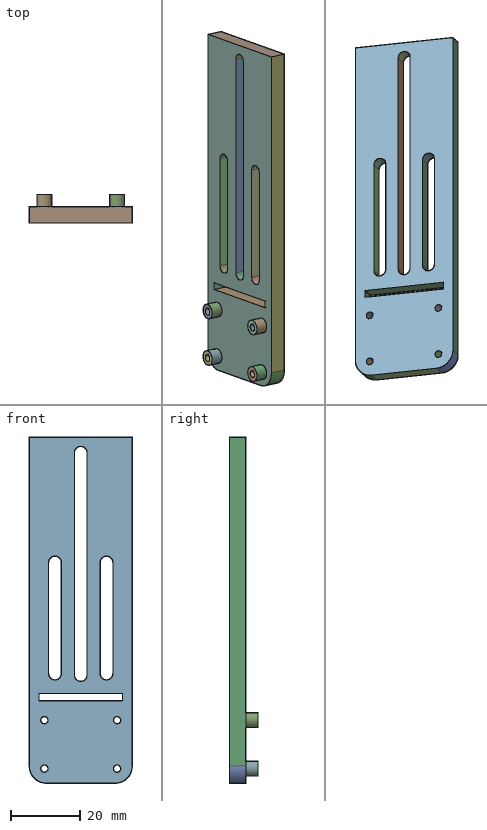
import cadquery as cq

PLATE_WIDTH = 29.8
PLATE_THICKNESS = 4.8
PLATE_HEIGHT = 100.0
CORNER_RADIUS = 5.0

SLOT_WIDTH = 3.6
CENTER_SLOT_BOTTOM = 29.5
CENTER_SLOT_TOP = 97.3
SIDE_SLOT_BOTTOM = 29.9
SIDE_SLOT_TOP = 65.6
SIDE_SLOT_OFFSET = PLATE_WIDTH / 4

CROSS_SLOT_LENGTH = 24.0
CROSS_SLOT_HEIGHT = 2.0
CROSS_SLOT_BOTTOM = 23.9

TOTAL_DEPTH = 8.35
PEG_HEIGHT = TOTAL_DEPTH - PLATE_THICKNESS
PEG_DIAMETER = 4.32
PEG_HOLE_DIAMETER = 2.0
PEG_SPACING_X = 21.0
PEG_SPACING_Z = 14.0
LOWER_PEG_Z = 4.25
PEG_CENTERS = [
    (side * PEG_SPACING_X / 2, LOWER_PEG_Z + row * PEG_SPACING_Z)
    for side in (-1, 1)
    for row in (0, 1)
]


def sketch_plane(y):
    """XZ workplane at depth y; extrusion by a negative length runs toward +Y."""
    return cq.Workplane(cq.Plane(origin=(0, y, 0), xDir=(1, 0, 0), normal=(0, -1, 0)))


def make_plate():
    """Flat plate with its two bottom corners rounded."""
    plate = cq.Workplane("XY").box(
        PLATE_WIDTH, PLATE_THICKNESS, PLATE_HEIGHT, centered=(True, False, False)
    )
    return plate.faces("<Z").edges("|Y").fillet(CORNER_RADIUS)


def make_slot(x, bottom, top):
    """Cutter for a vertical round-ended slot between two end heights."""
    return (
        sketch_plane(0)
        .center(x, (bottom + top) / 2)
        .slot2D(top - bottom, SLOT_WIDTH, 90)
        .extrude(-PLATE_THICKNESS)
    )


def make_cross_slot():
    """Cutter for the horizontal rectangular slot."""
    return (
        sketch_plane(0)
        .center(0, CROSS_SLOT_BOTTOM + CROSS_SLOT_HEIGHT / 2)
        .rect(CROSS_SLOT_LENGTH, CROSS_SLOT_HEIGHT)
        .extrude(-PLATE_THICKNESS)
    )


def make_pegs():
    """Four round pegs rising from the back face."""
    return (
        sketch_plane(PLATE_THICKNESS)
        .pushPoints(PEG_CENTERS)
        .circle(PEG_DIAMETER / 2)
        .extrude(-PEG_HEIGHT)
    )


def make_peg_holes():
    """Cutters for the holes running through both plate and pegs."""
    return (
        sketch_plane(0)
        .pushPoints(PEG_CENTERS)
        .circle(PEG_HOLE_DIAMETER / 2)
        .extrude(-TOTAL_DEPTH)
    )


result = make_plate().union(make_pegs())
result = result.cut(make_slot(0, CENTER_SLOT_BOTTOM, CENTER_SLOT_TOP))
for slot_side in (-1, 1):
    result = result.cut(make_slot(slot_side * SIDE_SLOT_OFFSET, SIDE_SLOT_BOTTOM, SIDE_SLOT_TOP))
result = result.cut(make_cross_slot())
result = result.cut(make_peg_holes())